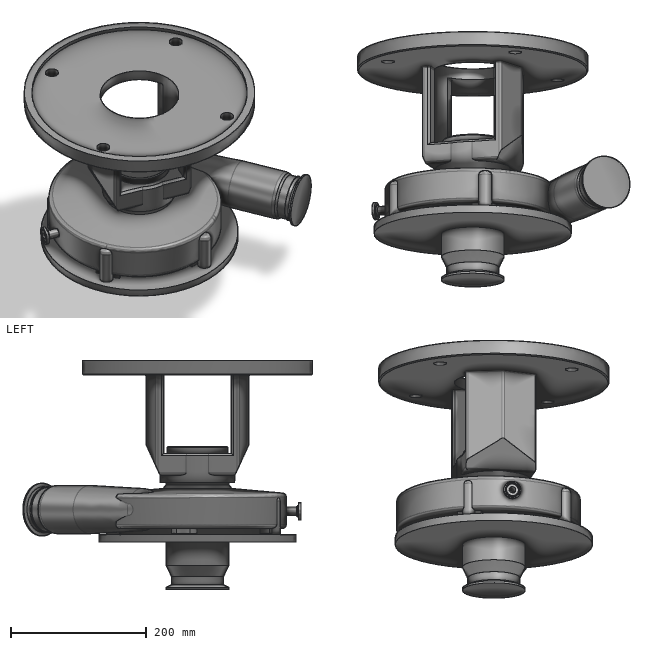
import cadquery as cq
import math

BASE_BOTTOM = 69.7
BASE_TOP = 81.0
LUG_BOTTOM = 82.5
LUG_TOP = 92.0
CASING_BOTTOM = 90.0
CONE_TOP = 149.0
HUB_BOTTOM = 157.5
BRACKET_BOTTOM = 168.0
WINDOW_FLOOR = 200.5
SHAFT_TOP = 211.0
FLANGE_BOTTOM = 316.0
FLANGE_TOP = 337.5

FLANGE_RADIUS = 170.1
FLANGE_EDGE_CHAMFER = 1.5
RECESS_RADIUS = 158.7
RECESS_DEPTH = 5.0
BORE_RADIUS = 57.98
BOLT_HOLE_RADIUS = 9.5
BOLT_SQUARE = 197.5

BRACKET_HALF_WIDTH = 52.4
BRACKET_SIDE_REACH = 61.0
BRACKET_RIDGE_REACH = 76.0
BRACKET_SIDE_FILLET = 3.5
BRACKET_RIDGE_FILLET = 7.0
BRACKET_FOOT_FILLET = 4.0
FLANGE_JOINT_FILLET = 1.5
UNDERCUT_TOP = 214.0
UNDERCUT_FOOT_REACH = 55.0
WINDOW_HALF_LENGTH = 49.5
WINDOW_CHAMFER = 3.5

SELECT_MARGIN = 0.5

HUB_RADIUS = 55.0
NECK_RADIUS = 46.5
NECK_FOOT_RADIUS = 50.5
NECK_FLARE_TOP = 154.0
SHAFT_RADIUS = 45.0
SHAFT_CHAMFER = 1.5

SMALL_ARC_RADIUS = 123.0
SMALL_ARC_SHIFT = 6.0
SPIRAL_START = SMALL_ARC_RADIUS + SMALL_ARC_SHIFT
LARGE_ARC_RADIUS = 137.0
LARGE_ARC_SHIFT = LARGE_ARC_RADIUS - SPIRAL_START
ARC_OVERRUN = 28.0
CONE_DROP_PER_UNIT = 0.09
CASING_FILLET = 6.0
UNDERBODY_RADIUS = 113.5

POST_COUNT = 5
POST_START_ANGLE = -117.2
POST_CIRCLE_RADIUS = 126.2
POST_RADIUS = 10.0
POST_TOP = 137.0
POST_TOP_FILLET = 7.0
LUG_CIRCLE_RADIUS = 121.0
LUG_RADIUS = 19.0

BASE_RADIUS = 145.5
INLET_RADIUS = 46.0
INLET_THROAT_RADIUS = 38.5
INLET_RIM_NECK_RADIUS = 40.5
INLET_RIM_EDGE = 3.0
INLET_RIM_NECK = 5.5
INLET_THROAT_BOTTOM = 7.0
INLET_THROAT_TOP = 19.0
INLET_TAPER_TOP = 35.0

OUTLET_ANGLE = 45
OUTLET_OFFSET = 115.0
OUTLET_HEIGHT = 117.5
NOSE_RADIUS = 31.2
OUTLET_RADIUS = 35.73
OUTLET_SHOULDER_RADIUS = 34.5
OUTLET_END_RADIUS = 32.5
OUTLET_BEAD_RADIUS = 34.0
OUTLET_GROOVE_RADIUS = 31.5
OUTLET_RIM_RADIUS = 39.0
OUTLET_WIDENING_END = 108.5
OUTLET_PIPE_END = 177.5
OUTLET_SHOULDER_END = 182.3
OUTLET_STEP_END = 185.5
OUTLET_BEAD_START = 198.0
OUTLET_GROOVE = 203.0
OUTLET_RIM_NECK = 206.5
OUTLET_RIM_START = 208.0
OUTLET_RIM_END = 210.5

NOZZLE_HEIGHT = 115.0
NOZZLE_END = 152.8
NOZZLE_ROOT = 124.0
NOZZLE_RADIUS = 6.5
NOZZLE_NECK_RADIUS = 8.5
NOZZLE_NECK_LENGTH = 1.3
NOZZLE_TAPER_LENGTH = 1.5
NOZZLE_RIM_RADIUS = 13.0
NOZZLE_RIM_THICKNESS = 4.0
NOZZLE_BORE_RADIUS = 4.5
NOZZLE_GROOVE_INNER = 9.0
NOZZLE_GROOVE_OUTER = 10.5
NOZZLE_GROOVE_DEPTH = 1.0


def cylinder(radius, bottom, top):
    return cq.Workplane("XY").workplane(offset=bottom).circle(radius).extrude(top - bottom)


def revolve_profile(profile):
    """Turn a closed (radius, height) outline about the Z axis."""
    return cq.Workplane("XZ").polyline(profile).close().revolve(360, (0, 0, 0), (0, 1, 0))


def make_flange():
    disc = cylinder(FLANGE_RADIUS, FLANGE_BOTTOM, FLANGE_TOP)
    disc = disc.faces("<Z").edges().chamfer(FLANGE_EDGE_CHAMFER)
    recess = cylinder(RECESS_RADIUS, FLANGE_TOP - RECESS_DEPTH, FLANGE_TOP)
    bore = cylinder(BORE_RADIUS, FLANGE_BOTTOM, FLANGE_TOP)
    bolt_holes = (
        cq.Workplane("XY")
        .workplane(offset=FLANGE_BOTTOM)
        .rect(BOLT_SQUARE, BOLT_SQUARE, forConstruction=True)
        .vertices()
        .circle(BOLT_HOLE_RADIUS)
        .extrude(FLANGE_TOP - FLANGE_BOTTOM)
    )
    return disc.cut(recess).cut(bore).cut(bolt_holes)


def make_bracket_blank():
    """Six-sided column with a ridge on each Y side, tapered in below the ridges."""
    w, side, ridge = BRACKET_HALF_WIDTH, BRACKET_SIDE_REACH, BRACKET_RIDGE_REACH
    outline = [(w, -side), (w, side), (0, ridge), (-w, side), (-w, -side), (0, -ridge)]
    column = (
        cq.Workplane("XY")
        .workplane(offset=BRACKET_BOTTOM)
        .polyline(outline)
        .close()
        .extrude(FLANGE_BOTTOM - BRACKET_BOTTOM)
    )
    column = column.edges("|Z").edges("<Y or >Y").fillet(BRACKET_RIDGE_FILLET)
    column = column.edges("|Z").edges("<X or >X").fillet(BRACKET_SIDE_FILLET)
    wedge = (
        cq.Workplane("YZ")
        .polyline([
            (UNDERCUT_FOOT_REACH, BRACKET_BOTTOM),
            (ridge, UNDERCUT_TOP),
            (2 * ridge, UNDERCUT_TOP),
            (2 * ridge, BRACKET_BOTTOM),
        ])
        .close()
        .extrude(2 * w, both=True)
    )
    column = column.cut(wedge).cut(wedge.mirror("XZ"))
    return column.faces("<Z").edges().fillet(BRACKET_FOOT_FILLET)


def make_stand():
    """Flange, bracket and hub, with a chamfered window through the bracket along X."""
    window = (
        cq.Workplane("XY")
        .workplane(offset=WINDOW_FLOOR)
        .rect(4 * BRACKET_HALF_WIDTH, 2 * WINDOW_HALF_LENGTH)
        .extrude(FLANGE_BOTTOM - WINDOW_FLOOR)
    )
    bore = cylinder(BORE_RADIUS, WINDOW_FLOOR, FLANGE_BOTTOM)
    bracket = make_bracket_blank().union(cylinder(HUB_RADIUS, HUB_BOTTOM, WINDOW_FLOOR))
    bracket = bracket.cut(window).cut(bore)
    mouth_reach = WINDOW_HALF_LENGTH + SELECT_MARGIN
    for side in (-1, 1):
        mouth = cq.selectors.BoxSelector(
            (side * (BRACKET_HALF_WIDTH - SELECT_MARGIN), -mouth_reach, WINDOW_FLOOR - SELECT_MARGIN),
            (side * (HUB_RADIUS + SELECT_MARGIN), mouth_reach, FLANGE_BOTTOM - SELECT_MARGIN),
        )
        bracket = bracket.edges(mouth).chamfer(WINDOW_CHAMFER)
    stand = make_flange().union(bracket)
    joint_width = BRACKET_HALF_WIDTH + SELECT_MARGIN
    joint = cq.selectors.BoxSelector(
        (-joint_width, -BRACKET_RIDGE_REACH, FLANGE_BOTTOM - SELECT_MARGIN),
        (joint_width, BRACKET_RIDGE_REACH, FLANGE_BOTTOM + SELECT_MARGIN),
    )
    return stand.edges(joint).edges("not %CIRCLE").fillet(FLANGE_JOINT_FILLET)


def make_shaft():
    shaft = cylinder(SHAFT_RADIUS, HUB_BOTTOM, SHAFT_TOP)
    return shaft.faces(">Z").edges().chamfer(SHAFT_CHAMFER)


def make_casing_disc(radius, shift):
    """Full round casing about an axis shifted toward +Y, with a shallow cone about Z on top."""
    reach = LARGE_ARC_RADIUS + 2 * LARGE_ARC_SHIFT
    cone_edge = CONE_TOP - CONE_DROP_PER_UNIT * (reach - NECK_FOOT_RADIUS)
    envelope = revolve_profile([
        (0, CASING_BOTTOM),
        (reach, CASING_BOTTOM),
        (reach, cone_edge),
        (NECK_FOOT_RADIUS, CONE_TOP),
        (0, CONE_TOP),
    ])
    disc = cylinder(radius, CASING_BOTTOM, CONE_TOP).translate((0, shift, 0)).intersect(envelope)
    return disc.faces("%CYLINDER").edges("not |Z").fillet(CASING_FILLET)


def make_casing():
    """Spiral casing with its outlet pipe, built with the pipe along +X and then turned."""
    span = 2 * LARGE_ARC_RADIUS
    small_side = cq.Workplane("XY").box(span, 2 * span, span, centered=(False, True, False))
    large_side = (
        cq.Workplane("XY")
        .polyline([(0, -span), (-span, -span), (-span, span), (ARC_OVERRUN, span), (ARC_OVERRUN, 0), (0, 0)])
        .close()
        .extrude(span)
    )
    small_part = make_casing_disc(SMALL_ARC_RADIUS, -SMALL_ARC_SHIFT).intersect(small_side)
    large_part = make_casing_disc(LARGE_ARC_RADIUS, LARGE_ARC_SHIFT).intersect(large_side)
    casing = small_part.union(make_outlet()).union(large_part)
    return casing.rotate((0, 0, 0), (0, 0, 1), OUTLET_ANGLE)


def make_neck():
    return revolve_profile([
        (0, CASING_BOTTOM),
        (NECK_FOOT_RADIUS, CASING_BOTTOM),
        (NECK_FOOT_RADIUS, CONE_TOP),
        (NECK_RADIUS, NECK_FLARE_TOP),
        (NECK_RADIUS, HUB_BOTTOM),
        (0, HUB_BOTTOM),
    ])


def make_base_and_inlet():
    """Base plate, the body under the casing, and the inlet pipe ending in a clamp rim."""
    plate = cylinder(BASE_RADIUS, BASE_BOTTOM, BASE_TOP)
    underbody = cylinder(UNDERBODY_RADIUS, BASE_BOTTOM, CASING_BOTTOM)
    inlet = revolve_profile([
        (0, 0),
        (INLET_RADIUS, 0),
        (INLET_RADIUS, INLET_RIM_EDGE),
        (INLET_RIM_NECK_RADIUS, INLET_RIM_NECK),
        (INLET_THROAT_RADIUS, INLET_THROAT_BOTTOM),
        (INLET_THROAT_RADIUS, INLET_THROAT_TOP),
        (INLET_RADIUS, INLET_TAPER_TOP),
        (INLET_RADIUS, BASE_TOP),
        (0, BASE_TOP),
    ])
    return plate.union(underbody).union(inlet)


def around_casing(feature):
    """Copies of a feature at every post angle."""
    copies = cq.Workplane("XY")
    for i in range(POST_COUNT):
        angle = POST_START_ANGLE + i * 360 / POST_COUNT
        copies = copies.union(feature.rotate((0, 0, 0), (0, 0, 1), angle))
    return copies


def make_posts():
    post = cylinder(POST_RADIUS, BASE_BOTTOM, POST_TOP).faces(">Z").edges().fillet(POST_TOP_FILLET)
    return around_casing(post.translate((POST_CIRCLE_RADIUS, 0, 0)))


def make_lugs():
    """Flat round lugs under the casing floor, cut off at the edge of that floor."""
    small_radius = SMALL_ARC_RADIUS - CASING_FILLET
    large_radius = LARGE_ARC_RADIUS - CASING_FILLET
    start = (0, CASING_FILLET - SPIRAL_START)
    floor = (
        cq.Workplane("XY")
        .workplane(offset=LUG_BOTTOM)
        .moveTo(*start)
        .threePointArc((small_radius, -SMALL_ARC_SHIFT), (0, small_radius - SMALL_ARC_SHIFT))
        .lineTo(0, large_radius + LARGE_ARC_SHIFT)
        .threePointArc((-large_radius, LARGE_ARC_SHIFT), start)
        .close()
        .extrude(LUG_TOP - LUG_BOTTOM)
        .rotate((0, 0, 0), (0, 0, 1), OUTLET_ANGLE)
    )
    lug = cylinder(LUG_RADIUS, LUG_BOTTOM, LUG_TOP)
    return around_casing(lug.translate((LUG_CIRCLE_RADIUS, 0, 0))).intersect(floor)


def make_outlet():
    """Outlet pipe along +X: round nose, widening pipe, stepped end and clamp rim."""
    nose_mid = NOSE_RADIUS * math.sqrt(0.5)
    outline = (
        cq.Workplane("XZ")
        .moveTo(0, -NOSE_RADIUS)
        .threePointArc((nose_mid, -nose_mid), (NOSE_RADIUS, 0))
        .lineTo(OUTLET_RADIUS, OUTLET_WIDENING_END)
        .lineTo(OUTLET_RADIUS, OUTLET_PIPE_END)
        .lineTo(OUTLET_SHOULDER_RADIUS, OUTLET_SHOULDER_END)
        .lineTo(OUTLET_END_RADIUS, OUTLET_STEP_END)
        .lineTo(OUTLET_END_RADIUS, OUTLET_BEAD_START)
        .lineTo(OUTLET_BEAD_RADIUS, OUTLET_BEAD_START)
        .lineTo(OUTLET_GROOVE_RADIUS, OUTLET_GROOVE)
        .lineTo(OUTLET_BEAD_RADIUS, OUTLET_RIM_NECK)
        .lineTo(OUTLET_RIM_RADIUS, OUTLET_RIM_START)
        .lineTo(OUTLET_RIM_RADIUS, OUTLET_RIM_END)
        .lineTo(0, OUTLET_RIM_END)
        .close()
    )
    pipe = outline.revolve(360, (0, 0, 0), (0, 1, 0))
    return pipe.rotate((0, 0, 0), (0, 1, 0), 90).translate((0, OUTLET_OFFSET, OUTLET_HEIGHT))


def make_nozzle():
    """Drain nozzle with a grooved clamp rim and a bore reaching the casing wall."""
    rim_start = NOZZLE_END - NOZZLE_RIM_THICKNESS
    neck_start = rim_start - NOZZLE_NECK_LENGTH
    groove_floor = NOZZLE_END - NOZZLE_GROOVE_DEPTH
    nozzle = revolve_profile([
        (0, NOZZLE_ROOT),
        (NOZZLE_RADIUS, NOZZLE_ROOT),
        (NOZZLE_RADIUS, neck_start - NOZZLE_TAPER_LENGTH),
        (NOZZLE_NECK_RADIUS, neck_start),
        (NOZZLE_NECK_RADIUS, rim_start),
        (NOZZLE_RIM_RADIUS, rim_start),
        (NOZZLE_RIM_RADIUS, NOZZLE_END),
        (NOZZLE_GROOVE_OUTER, NOZZLE_END),
        (NOZZLE_GROOVE_OUTER, groove_floor),
        (NOZZLE_GROOVE_INNER, groove_floor),
        (NOZZLE_GROOVE_INNER, NOZZLE_END),
        (NOZZLE_BORE_RADIUS, NOZZLE_END),
        (NOZZLE_BORE_RADIUS, SPIRAL_START),
        (0, SPIRAL_START),
    ])
    return nozzle.rotate((0, 0, 0), (1, 0, 0), 90).translate((0, 0, NOZZLE_HEIGHT))


result = make_stand()
for piece in (
    make_shaft(),
    make_neck(),
    make_casing(),
    make_base_and_inlet(),
    make_lugs(),
    make_posts(),
    make_nozzle(),
):
    result = result.union(piece)